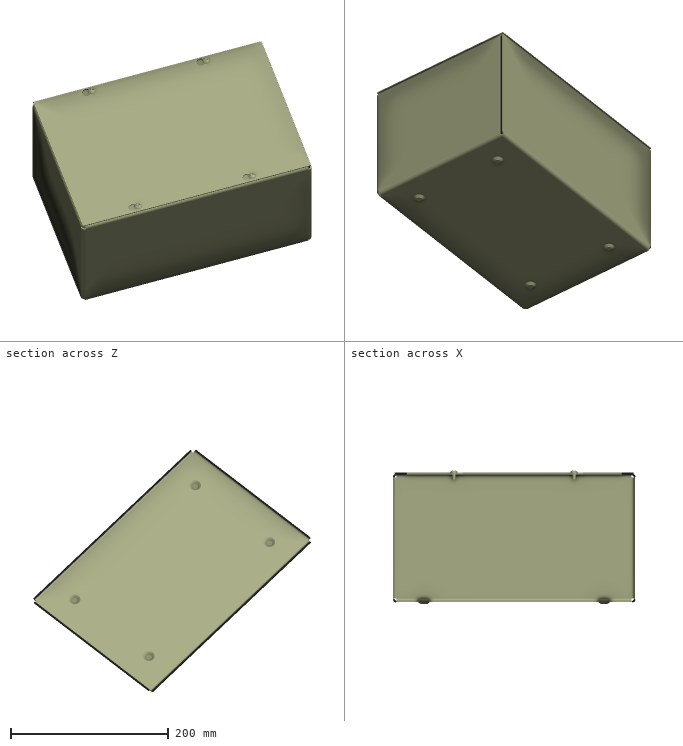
import cadquery as cq

length_x = 206.5
length_y = 308.0
housing_height = 163.5

sheet = 1.5
bend_radius = 5.0
flange_width = 17.0

seam_relief_x = 5.5
seam_relief_y = 2.8
seam_overrun = 2.5

foot_spacing_x = 127.0
foot_spacing_y = 229.0
foot_height = 2.5
foot_top_diameter = 14.8
foot_bottom_diameter = 7.7

cover_inset = 1.5
cover_thickness = 1.5
keyhole_diameter = 10.8
keyhole_slot_width = 6.0
keyhole_offset = 7.0

screw_spacing_x = 189.0
screw_spacing_y = 152.8
shank_diameter = 4.3
shank_length = 9.2
head_diameter = 10.0
head_height = 2.62
recess_length = 6.0
recess_width = 1.2
recess_depth = 1.2
left_recess_angle = -15

inner_bend_radius = bend_radius - sheet
straight_height = housing_height - 2 * bend_radius
cover_top = housing_height + cover_thickness


def grid_points(spacing_x, spacing_y):
    """Four centres of a rectangle around the origin."""
    return [
        (sign_x * spacing_x / 2, sign_y * spacing_y / 2)
        for sign_x in (-1, 1)
        for sign_y in (-1, 1)
    ]


foot_points = grid_points(foot_spacing_x, foot_spacing_y)
screw_points = grid_points(screw_spacing_x, screw_spacing_y)


def bent_box(size_x, size_y, size_z, base_z, radius):
    """Block with all edges rounded except the vertical one at the seam."""
    block = cq.Workplane("XY", origin=(0, 0, base_z)).box(size_x, size_y, size_z, centered=(True, True, False))
    seam_edge = block.edges("|Z").edges("<X and >Y")
    bent_edges = [edge for edge in block.edges().vals() if not edge.isSame(seam_edge.val())]
    return block.newObject(bent_edges).fillet(radius)


def make_bent_shell():
    """Hollow sheet box whose top flanges frame an opening."""
    outer = bent_box(length_x, length_y, housing_height, 0, bend_radius)
    cavity = bent_box(
        length_x - 2 * sheet, length_y - 2 * sheet, housing_height - 2 * sheet, sheet, inner_bend_radius
    )
    opening = cq.Workplane("XY", origin=(0, 0, housing_height - sheet)).box(
        length_x - 2 * flange_width,
        length_y - 2 * flange_width,
        sheet,
        centered=(True, True, False),
    )
    return outer.cut(cavity).cut(opening)


def corner_block(sign_x, sign_y, z, depth_x, depth_y, height):
    """Block centred on a vertical edge, reaching depth_x and depth_y into the housing."""
    center = (sign_x * length_x / 2, sign_y * length_y / 2, z)
    return cq.Workplane("XY", origin=center).box(2 * depth_x, 2 * depth_y, height)


def cut_corner_reliefs(shell):
    """Square notches at the corners where three bends would meet."""
    for sign_x, sign_y in [(-1, -1), (1, -1), (1, 1)]:
        for z in (0, housing_height):
            notch = corner_block(sign_x, sign_y, z, bend_radius, bend_radius, 2 * bend_radius)
            shell = shell.cut(notch)
    return shell


def open_seam(shell):
    """Gap between the straight end of the -X wall and the end of the +Y wall."""
    gap = corner_block(-1, 1, housing_height / 2, seam_relief_x, seam_relief_y, housing_height)
    wall_end = corner_block(-1, 1, housing_height / 2, sheet, seam_relief_y, straight_height + 2 * seam_overrun)
    return shell.cut(gap.cut(wall_end))


def press_feet(shell):
    """Hollow conical feet pressed down out of the floor."""
    cone = (
        cq.Workplane("XZ")
        .moveTo(0, 0)
        .lineTo(0, -foot_height)
        .lineTo(foot_bottom_diameter / 2, -foot_height)
        .lineTo(foot_top_diameter / 2, 0)
        .close()
        .revolve(360, (0, 0, 0), (0, 1, 0))
    )
    for x, y in foot_points:
        shell = shell.union(cone.translate((x, y, 0)))
        shell = shell.cut(cone.translate((x, y, sheet)))
    return shell


def cut_screw_holes(shell):
    """Holes through the top flanges that hold the screw shanks."""
    holes = cq.Workplane("XY", origin=(0, 0, housing_height - sheet)).pushPoints(screw_points)
    return shell.cut(holes.circle(shank_diameter / 2).extrude(sheet))


def make_housing():
    """Bent sheet housing, open at the top inside the flanges."""
    shell = make_bent_shell()
    shell = cut_corner_reliefs(shell)
    shell = open_seam(shell)
    shell = press_feet(shell)
    return cut_screw_holes(shell)


def make_cover():
    """Flat plate with keyholes that open towards -Y."""
    plate = cq.Workplane("XY", origin=(0, 0, housing_height)).box(
        length_x - 2 * cover_inset,
        length_y - 2 * cover_inset,
        cover_thickness,
        centered=(True, True, False),
    )
    entry_points = [(x, y - keyhole_offset) for x, y in screw_points]
    slot_middles = [(x, y - keyhole_offset / 2) for x, y in screw_points]
    entries = cq.Workplane("XY", origin=(0, 0, housing_height)).pushPoints(entry_points)
    entries = entries.circle(keyhole_diameter / 2).extrude(cover_thickness)
    slots = cq.Workplane("XY", origin=(0, 0, housing_height)).pushPoints(slot_middles)
    slots = slots.slot2D(keyhole_offset + keyhole_slot_width, keyhole_slot_width, 90).extrude(cover_thickness)
    return plate.cut(entries).cut(slots)


def make_screw(recess_angle):
    """Domed cross-recess screw with the underside of its head at z = 0."""
    head_radius = head_diameter / 2
    sphere_radius = (head_radius**2 + head_height**2) / (2 * head_height)
    head_blank = cq.Workplane("XY").circle(head_radius).extrude(head_height)
    sphere = cq.Workplane("XY", origin=(0, 0, head_height - sphere_radius)).sphere(sphere_radius)
    head = head_blank.intersect(sphere)
    shank = cq.Workplane("XY").circle(shank_diameter / 2).extrude(-shank_length)
    screw = head.union(shank)
    recess_arm = cq.Workplane("XY", origin=(0, 0, head_height - recess_depth))
    recess_arm = recess_arm.rect(recess_length, recess_width).extrude(recess_depth)
    for arm_angle in (0, 90):
        screw = screw.cut(recess_arm.rotate((0, 0, 0), (0, 0, 1), recess_angle + arm_angle))
    return screw


def make_screws():
    """Four screws on the cover; the recesses of the -X pair are turned."""
    screws = []
    for x, y in screw_points:
        recess_angle = left_recess_angle if x < 0 else 0
        screws.append(make_screw(recess_angle).translate((x, y, cover_top)))
    return screws


housing = make_housing()
cover = make_cover()
screws = make_screws()

result = cq.Compound.makeCompound([housing.val(), cover.val(), *[screw.val() for screw in screws]])